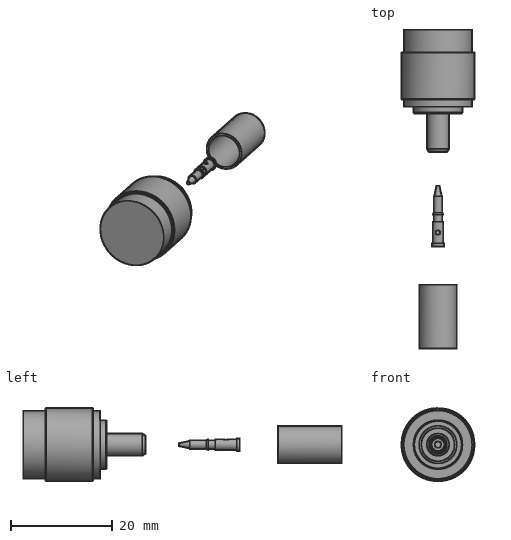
import cadquery as cq


nose_radius = 6.75
grip_radius = 7.25
grip_start = 4.4
grip_end = 13.9
grip_chamfer = 0.2
back_end = 15.3
collar_radius = 4.85
collar_end = 16.6
collar_chamfer = 0.2
collar_chamfer_length = 0.25
stem_radius = 2.2
stem_end = 24.25
stem_tip_radius = 1.75
stem_chamfer_length = 0.6
stem_bore_radius = 1.5
stem_bore_depth = stem_end - back_end

pin_tip = 30.9
pin_tip_radius = 0.3
taper_end = 32.95
taper_end_radius = 0.75
barrel_radius = 0.9
barb_start = 36.25
barb_end = 36.7
neck_end = 38.1
socket_radius = 1.1
rim_start = 42.3
rim_radius = 1.25
pin_end = 42.95
socket_bore_radius = 0.6
solder_hole_station = 40.15
solder_hole_radius = 0.45
socket_bore_depth = pin_end - neck_end

sleeve_start = 50.45
sleeve_end = 63.15
sleeve_radius = 3.7
sleeve_bore_radius = 3.3


def turned(profile):
    """Revolve (radius, station) points, closed along the axis, about Y."""
    first_station = profile[0][1]
    last_station = profile[-1][1]
    points = [(0, first_station), *profile, (0, last_station)]
    outline = [(radius, -station) for radius, station in points]
    return cq.Workplane("XY").polyline(outline).close().revolve(360, (0, 0), (0, 1))


def rod(radius, start, end):
    """Cylinder on the common axis between two stations."""
    return turned([(radius, start), (radius, end)])


def make_shell():
    blank = turned([
        (nose_radius, 0),
        (nose_radius, grip_start),
        (grip_radius - grip_chamfer, grip_start),
        (grip_radius, grip_start + grip_chamfer),
        (grip_radius, grip_end - grip_chamfer),
        (grip_radius - grip_chamfer, grip_end),
        (nose_radius, grip_end),
        (nose_radius, back_end),
        (collar_radius, back_end),
        (collar_radius, collar_end - collar_chamfer_length),
        (collar_radius - collar_chamfer, collar_end),
        (stem_radius, collar_end),
        (stem_radius, stem_end - stem_chamfer_length),
        (stem_tip_radius, stem_end),
    ])
    return blank.cut(rod(stem_bore_radius, stem_end - stem_bore_depth, stem_end))


def make_pin():
    blank = turned([
        (pin_tip_radius, pin_tip),
        (taper_end_radius, taper_end),
        (barrel_radius, taper_end),
        (barrel_radius, barb_start),
        (socket_radius, barb_end),
        (barrel_radius, barb_end),
        (barrel_radius, neck_end),
        (socket_radius, neck_end),
        (socket_radius, rim_start),
        (rim_radius, rim_start),
        (rim_radius, pin_end),
    ])
    socket_bore = rod(socket_bore_radius, pin_end - socket_bore_depth, pin_end)
    solder_hole = (
        cq.Workplane("XY")
        .center(0, -solder_hole_station)
        .circle(solder_hole_radius)
        .extrude(rim_radius)
    )
    return blank.cut(socket_bore).cut(solder_hole)


def make_sleeve():
    tube = rod(sleeve_radius, sleeve_start, sleeve_end)
    return tube.cut(rod(sleeve_bore_radius, sleeve_start, sleeve_end))


shell = make_shell()
pin = make_pin()
sleeve = make_sleeve()

result = cq.Compound.makeCompound([shell.val(), pin.val(), sleeve.val()])